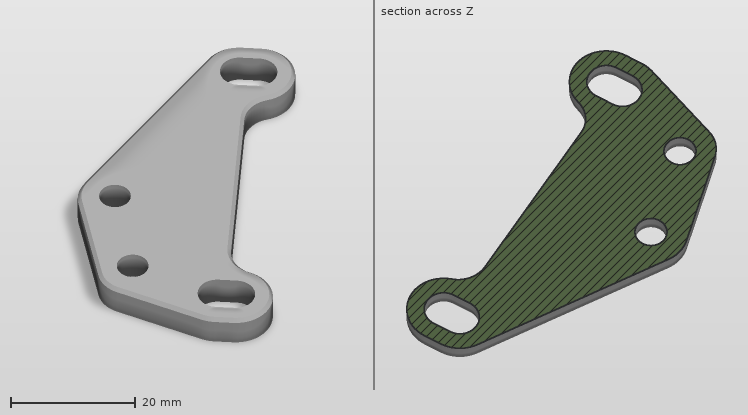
import cadquery as cq
import math

thickness = 5.0
edge_chamfer = 0.6
rim_radius = 6.0

hole_diameter = 5.1
hole_a = (0, 0)
hole_b = (12.05, -10.9)

bottom_radius = 5.2
bottom_center = (12.2, -11.65)

slot_width = 6.25
slot_travel = 3.05
slot_spacing_x = 28.35
slot_spacing_y = 42.35
upper_slot_outer = (0.85, 36.55)

recess_depth = 1.5
recess_fillet = 5.0


def shifted(point, direction, distance):
    return (point[0] + distance * direction[0], point[1] + distance * direction[1])


def unit_between(start, end):
    length = math.dist(start, end)
    return ((end[0] - start[0]) / length, (end[1] - start[1]) / length)


def tangent_normal(start, end, start_radius, end_radius):
    """Outward normal of the outer tangent of two circles passed counterclockwise."""
    along = unit_between(start, end)
    outward = (along[1], -along[0])
    slope = (start_radius - end_radius) / math.dist(start, end)
    return shifted((slope * along[0], slope * along[1]), outward, math.sqrt(1 - slope**2))


def arc_middle(center, start, end, radius):
    """Middle of the minor arc from start to end."""
    chord_middle = ((start[0] + end[0]) / 2, (start[1] + end[1]) / 2)
    return shifted(center, unit_between(center, chord_middle), radius)


lower_slot_outer = (upper_slot_outer[0] + slot_spacing_x, upper_slot_outer[1] - slot_spacing_y)
along_recess = unit_between(upper_slot_outer, lower_slot_outer)
slot_direction = (-along_recess[1], along_recess[0])
upper_slot_inner = shifted(upper_slot_outer, slot_direction, -slot_travel)
lower_slot_inner = shifted(lower_slot_outer, slot_direction, -slot_travel)


def make_outline():
    centers = [upper_slot_outer, upper_slot_inner, hole_a, bottom_center, lower_slot_inner, lower_slot_outer]
    radii = [bottom_radius if center == bottom_center else rim_radius for center in centers]

    fillet_offset = recess_fillet - recess_depth
    fillet_reach = math.sqrt((rim_radius + recess_fillet) ** 2 - fillet_offset**2)
    upper_foot = shifted(upper_slot_outer, along_recess, fillet_reach)
    upper_fillet = shifted(upper_foot, slot_direction, fillet_offset)
    lower_foot = shifted(lower_slot_outer, along_recess, -fillet_reach)
    lower_fillet = shifted(lower_foot, slot_direction, fillet_offset)
    upper_lobe_end = shifted(upper_slot_outer, unit_between(upper_slot_outer, upper_fillet), rim_radius)
    lower_lobe_end = shifted(lower_slot_outer, unit_between(lower_slot_outer, lower_fillet), rim_radius)
    upper_edge_end = shifted(upper_fillet, slot_direction, -recess_fillet)
    lower_edge_end = shifted(lower_fillet, slot_direction, -recess_fillet)

    arc_starts = [upper_lobe_end]
    arc_ends = []
    for start, end, start_radius, end_radius in zip(centers, centers[1:], radii, radii[1:]):
        normal = tangent_normal(start, end, start_radius, end_radius)
        arc_ends.append(shifted(start, normal, start_radius))
        arc_starts.append(shifted(end, normal, end_radius))
    arc_ends.append(lower_lobe_end)

    outline = cq.Workplane("XY").moveTo(*upper_lobe_end)
    for center, radius, start, end in zip(centers, radii, arc_starts, arc_ends):
        if center != upper_slot_outer:
            outline = outline.lineTo(*start)
        outline = outline.threePointArc(arc_middle(center, start, end, radius), end)

    lower_middle = arc_middle(lower_fillet, lower_lobe_end, lower_edge_end, recess_fillet)
    upper_middle = arc_middle(upper_fillet, upper_edge_end, upper_lobe_end, recess_fillet)
    return (
        outline.threePointArc(lower_middle, lower_edge_end)
        .lineTo(*upper_edge_end)
        .threePointArc(upper_middle, upper_lobe_end)
        .close()
    )


def make_slot(outer, inner):
    center = ((outer[0] + inner[0]) / 2, (outer[1] + inner[1]) / 2)
    angle = math.degrees(math.atan2(slot_direction[1], slot_direction[0]))
    return (
        cq.Workplane("XY")
        .center(*center)
        .slot2D(slot_travel + slot_width, slot_width, angle)
        .extrude(thickness)
    )


plate = make_outline().extrude(thickness).faces(">Z").chamfer(edge_chamfer)

holes = cq.Workplane("XY").pushPoints([hole_a, hole_b]).circle(hole_diameter / 2).extrude(thickness)
upper_slot = make_slot(upper_slot_outer, upper_slot_inner)
lower_slot = make_slot(lower_slot_outer, lower_slot_inner)

result = plate.cut(holes).cut(upper_slot).cut(lower_slot)